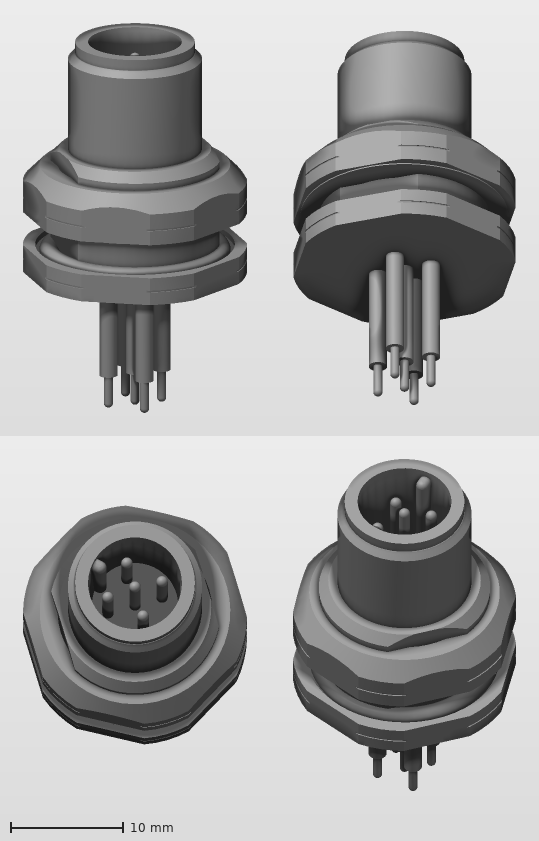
import cadquery as cq
import math


HEX_FLATS = 19.0
CORNER_RADIUS = 10.0
MARK_DEPTH = 0.1
MARK_HEIGHT = 0.17

ROOT_OVERLAP = 0.35

FLANGE_HEIGHT = 2.5
SEAL_GROOVE_RADIUS = 8.9
SEAL_GROOVE_DEPTH = 0.5
SEAL_SECTION_RADIUS = 0.9
SEAL_RING_RADIUS = 7.65
SEAL_STAND_OFF = 0.3

NUT_BOTTOM = 5.5
NUT_TOP = 10.0
NUT_CHAMFER = 1.5
NUT_BORE_RADIUS = 6.9
NUT_FACE_RADIUS = 9.28
NUT_FACE_HEIGHT = 0.1

BODY_RADIUS = 7.65
BODY_TOP = 11.5
BODY_CHAMFER = 0.85
BODY_FLATS = 13.4

SHELL_RADIUS = 6.0
SHELL_TOP = 21.5
LIP_RADIUS = 5.35
LIP_HEIGHT = 1.0
SHELL_CHAMFER = 0.58
SOCKET_TOP_RADIUS = 4.18
SOCKET_FLOOR_RADIUS = 3.85
SOCKET_DEPTH = 9.0

CONTACT_RADIUS = 0.5
CONTACT_DOME = 0.48
CONTACT_CIRCLE_RADIUS = 2.5
CONTACT_TOP = 19.38
CENTRE_CONTACT_TOP = 20.45

KEY_RADIUS = 0.58
KEY_ROUNDING = 0.5
KEY_DISTANCE = 3.55
KEY_REACH = 4.25
KEY_ANGLE = 45
KEY_TOP = 20.88

PIN_RADIUS = 0.8
PIN_LENGTH = 9.5
TIP_RADIUS = 0.4
TIP_END = -12.5

SOCKET_FLOOR = SHELL_TOP - SOCKET_DEPTH


def cylinder(radius, bottom, top, x=0, y=0):
    """Vertical cylinder between two heights."""
    return cq.Workplane("XY", origin=(x, y, bottom)).circle(radius).extrude(top - bottom)


def hexagon(bottom, top):
    """Hexagon with flats facing -Y and +Y, its corners rounded about the axis."""
    corner_diameter = HEX_FLATS / math.cos(math.radians(30))
    prism = cq.Workplane("XY", origin=(0, 0, bottom)).polygon(6, corner_diameter).extrude(top - bottom)
    return prism.intersect(cylinder(CORNER_RADIUS, bottom, top))


def corner_mark(middle):
    """Ring that cuts a fine line into the rounded corners of a hexagon."""
    bottom = middle - MARK_HEIGHT / 2
    top = middle + MARK_HEIGHT / 2
    outer = cylinder(CORNER_RADIUS + MARK_DEPTH, bottom, top)
    return outer.cut(cylinder(CORNER_RADIUS - MARK_DEPTH, bottom, top))


def domed_rod(radius, base, tip, dome_height, x=0, y=0):
    """Vertical rod from base to tip, ending in a spherical dome; tip may be below base."""
    toward_base = math.copysign(1, base - tip)
    dome_edge = tip + toward_base * dome_height
    sphere_radius = (radius**2 + dome_height**2) / (2 * dome_height)
    half_angle = math.asin(radius / sphere_radius) / 2
    middle_x = sphere_radius * math.sin(half_angle)
    middle_z = tip + toward_base * sphere_radius * (1 - math.cos(half_angle))
    profile = (
        cq.Workplane("XZ")
        .moveTo(0, base)
        .lineTo(radius, base)
        .lineTo(radius, dome_edge)
        .threePointArc((middle_x, middle_z), (0, tip))
        .close()
    )
    return profile.revolve(360, (0, 0), (0, 1)).translate((x, y, 0))


def make_flange():
    groove_floor = FLANGE_HEIGHT - SEAL_GROOVE_DEPTH
    flange = hexagon(0, FLANGE_HEIGHT)
    flange = flange.cut(cylinder(SEAL_GROOVE_RADIUS, groove_floor, FLANGE_HEIGHT))
    return flange.cut(corner_mark(FLANGE_HEIGHT / 2))


def make_seal():
    middle = FLANGE_HEIGHT + SEAL_STAND_OFF - SEAL_SECTION_RADIUS
    section = cq.Workplane("XZ").center(SEAL_RING_RADIUS, middle).circle(SEAL_SECTION_RADIUS)
    return section.revolve(360, (-SEAL_RING_RADIUS, 0), (-SEAL_RING_RADIUS, 1))


def make_nut():
    hex_bottom = NUT_BOTTOM + NUT_FACE_HEIGHT
    chamfer_edge = NUT_TOP - NUT_CHAMFER
    envelope = cylinder(CORNER_RADIUS, hex_bottom, NUT_TOP).faces(">Z").chamfer(NUT_CHAMFER)
    nut = hexagon(hex_bottom, NUT_TOP).intersect(envelope)
    nut = nut.cut(corner_mark((NUT_BOTTOM + chamfer_edge) / 2))
    nut = nut.union(cylinder(NUT_FACE_RADIUS, NUT_BOTTOM, hex_bottom))
    return nut.cut(cylinder(NUT_BORE_RADIUS, NUT_BOTTOM, NUT_TOP))


def make_body():
    body = cylinder(BODY_RADIUS, 0, BODY_TOP).faces(">Z").chamfer(BODY_CHAMFER)
    flats = cq.Workplane("XY").rect(2 * BODY_RADIUS, BODY_FLATS).extrude(BODY_TOP)
    return body.intersect(flats)


def make_shell():
    lip_bottom = SHELL_TOP - LIP_HEIGHT
    shell = cylinder(SHELL_RADIUS, 0, lip_bottom).faces(">Z").chamfer(SHELL_CHAMFER)
    return shell.union(cylinder(LIP_RADIUS, lip_bottom, SHELL_TOP))


def make_socket():
    """Tapered cavity, narrowing towards its floor."""
    profile = cq.Workplane("XZ").polyline([
        (0, SOCKET_FLOOR),
        (SOCKET_FLOOR_RADIUS, SOCKET_FLOOR),
        (SOCKET_TOP_RADIUS, SHELL_TOP),
        (0, SHELL_TOP),
    ])
    return profile.close().revolve(360, (0, 0), (0, 1))


def make_contact(x, y, top):
    """Contact in the socket with its stepped solder pin below the flange."""
    contact = domed_rod(CONTACT_RADIUS, SOCKET_FLOOR - ROOT_OVERLAP, top, CONTACT_DOME, x, y)
    pin = cylinder(PIN_RADIUS, -PIN_LENGTH, ROOT_OVERLAP, x, y)
    tip = domed_rod(TIP_RADIUS, -PIN_LENGTH + ROOT_OVERLAP, TIP_END, TIP_RADIUS, x, y)
    return contact, pin, tip


def make_key():
    """Upright rib with a round nose, running out radially into the shell wall."""
    height = KEY_TOP - SOCKET_FLOOR
    length = KEY_REACH - KEY_DISTANCE
    rib = (
        cq.Workplane("XY", origin=(0, 0, SOCKET_FLOOR))
        .center(KEY_DISTANCE + length / 2, 0)
        .slot2D(length + 2 * KEY_RADIUS, 2 * KEY_RADIUS)
        .extrude(height)
    )
    rib = rib.faces(">Z").edges().fillet(KEY_ROUNDING)
    return rib.rotate((0, 0, 0), (0, 0, 1), KEY_ANGLE)


contacts = [(0, 0, CENTRE_CONTACT_TOP)]
for quarter in range(4):
    angle = math.radians(90 * quarter)
    x = CONTACT_CIRCLE_RADIUS * math.cos(angle)
    y = CONTACT_CIRCLE_RADIUS * math.sin(angle)
    contacts.append((x, y, CONTACT_TOP))

result = make_flange().union(make_seal()).union(make_body()).union(make_nut()).union(make_shell())
result = result.cut(make_socket()).union(make_key())
for x, y, top in contacts:
    for piece in make_contact(x, y, top):
        result = result.union(piece)